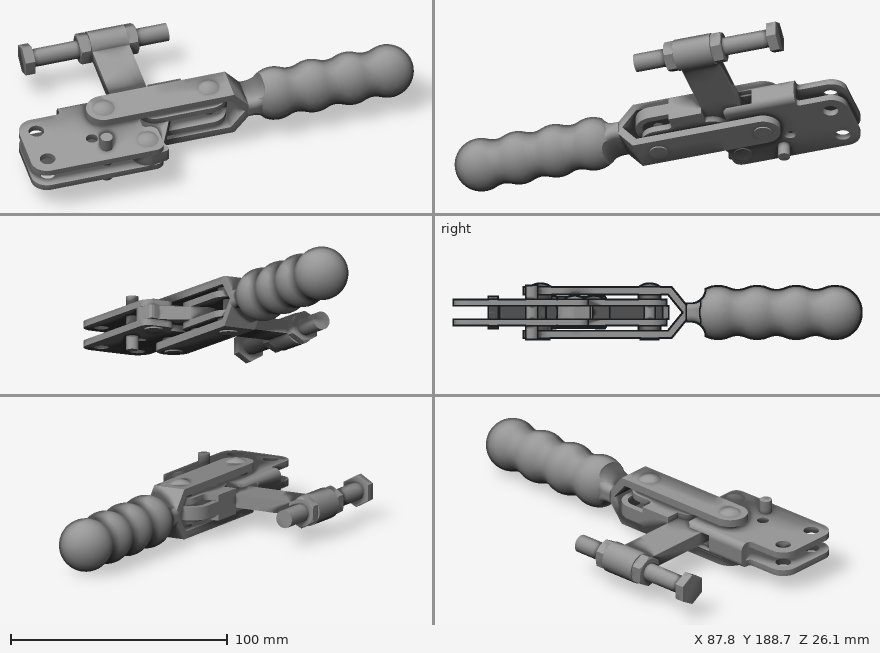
import cadquery as cq
import math


arm_half = 3.1
plate_thick = 3.0
plate_outer = arm_half + plate_thick
strap_inner = 8.3
strap_thick = 3.55
strap_outer = strap_inner + strap_thick

handle_pivot = (0.0, 0.0)
link_top_pivot = (0.0, 50.3)
link_arm_pivot = (0.0, 24.4)
arm_pivot = (19.86, 15.7)

shaft_dia = 5.2
spacer_dia = 10.3
dome_radius = 5.0
dome_height = 1.7
tail_radius = 4.25
tail_height = 0.65

base_right = arm_pivot[0] + 8.0
base_left = -7.3
base_bottom = -40.4
base_top = 15.6
base_corner = 7.5
fold_left = -12.9
fold_bottom = -18.8
fold_radius = 3.2
fold_relief = 1.6
fold_chamfer = 1.8
lobe_half = base_right - arm_pivot[0]
lobe_top = 21.9
lobe_corner = 4.2
lobe_fillet = 2.0
web_top = 1.7
arm_slot_half = 4.0
mount_hole_dia = 7.2
mount_inset = 8.0
spare_hole_dia = 5.5
spare_hole = (12.4, -9.1)
stop_pin_dia = 5.6
stop_pin = (19.75, -4.1)
stop_pin_half = 12.55

strap_width = 16.2
bend_inner_y = 58.7
bend_apex_y = 65.5
grip_bottom = 67.2
bulge_count = 4
bulge_pitch = 18.0
bulge_radius = 12.4
waist_radius = 10.5
first_bulge_y = 81.85
bulge_end_y = 76.0
neck_width = 18.0
neck_half = 4.3
neck_corner = 2.9
neck_straight_top = 69.5
neck_top = 73.8
flare_half = 10.0

arm_top = 25.4
arm_bottom = arm_pivot[1] - lobe_half
arm_lobe_radius = 7.5
notch = (20.9, 23.0)
nose = [(24.2, 24.15), (25.7, 24.15), (26.5, 22.9)]
barrel_x = -52.6
barrel_radius = 7.3

rod_dia = 8.4
rod_top = 45.3
hex_flats = 13.0
hex_corner_radius = hex_flats / math.sqrt(3)
nut_bevel = 0.6
upper_nut = 4.8
lower_nut = 5.3
head_top = -19.6
head_thick = 4.6

link_left = -15.0
link_bottom = arm_top
link_lobe = 8.0
link_step_y = 41.1
link_step_fillet = 2.4
loop_radius = 8.9
loop_thick = 2.9

RIGHT, LEFT, UP, DOWN = (1, 0), (-1, 0), (0, 1), (0, -1)


def slab(outline, z_low, z_high):
    """Extrude a closed XY outline between two heights."""
    return outline.extrude(z_high - z_low).translate((0, 0, z_low))


def disc(center, diameter, z_low, z_high):
    """Upright cylinder between two heights."""
    return slab(cq.Workplane("XY").center(*center).circle(diameter / 2), z_low, z_high)


def block(x_low, x_high, y_low, y_high, z_half):
    """Box centred on the mid-plane."""
    size = (x_high - x_low, y_high - y_low, 2 * z_half)
    middle = ((x_low + x_high) / 2, (y_low + y_high) / 2, 0)
    return cq.Workplane("XY").box(*size).translate(middle)


def rivet(center, grip_half):
    """Shaft with a domed head on top and a flat closed head below."""
    x, y = center
    dome = (
        cq.Workplane("XZ")
        .lineTo(dome_radius, 0)
        .threePointArc(dome_middle(), (0, dome_height))
        .close()
        .revolve(360, (0, 0), (0, 1))
        .translate((x, y, grip_half))
    )
    shaft = disc(center, shaft_dia, -grip_half, grip_half)
    tail = disc(center, 2 * tail_radius, -grip_half - tail_height, -grip_half)
    return shaft.union(dome).union(tail)


def dome_middle():
    """Point on the dome's profile halfway out from its centre."""
    sphere = (dome_radius**2 + dome_height**2) / (2 * dome_height)
    out = dome_radius / 2
    return (out, math.sqrt(sphere**2 - out**2) - (sphere - dome_height))


def rounded_corner(outline, corner, radius, turn_in, turn_out):
    """Add a quarter arc at a square corner; the turns are the unit directions in and out of it."""
    start = [c - radius * t for c, t in zip(corner, turn_in)]
    end = [c + radius * t for c, t in zip(corner, turn_out)]
    center = [c + radius * (b - a) for c, a, b in zip(corner, turn_in, turn_out)]
    reach = radius / math.hypot(*[c - k for c, k in zip(corner, center)])
    middle = [k + reach * (c - k) for c, k in zip(corner, center)]
    return outline.lineTo(*start).threePointArc(tuple(middle), tuple(end))


def base_outline():
    """Side plate with the folded edge on its left and a lobe round the arm pivot."""
    lobe_left = arm_pivot[0] - lobe_half
    outline = cq.Workplane("XY").moveTo(fold_left + fold_chamfer, base_top)
    corners = [
        ((lobe_left, base_top), lobe_fillet, RIGHT, UP),
        ((lobe_left, lobe_top), lobe_corner, UP, RIGHT),
        ((base_right, lobe_top), lobe_corner, RIGHT, DOWN),
        ((base_right, base_bottom), base_corner, DOWN, LEFT),
        ((base_left, base_bottom), base_corner, LEFT, UP),
        ((base_left, fold_bottom), fold_relief, UP, LEFT),
    ]
    for corner in corners:
        outline = rounded_corner(outline, *corner)
    return outline.lineTo(fold_left, fold_bottom).lineTo(fold_left, base_top - fold_chamfer).close()


def make_base():
    """U-folded sheet with the arm rivet and the stop pin; the arm passes through a slot in the fold."""
    base = slab(base_outline(), -plate_outer, plate_outer)
    base = base.faces("<X").edges("|Y").fillet(fold_radius)
    gap_left = fold_left + plate_thick
    base = base.cut(block(gap_left, base_right, base_bottom, lobe_top, arm_half))
    base = base.cut(block(fold_left, gap_left, web_top, base_top, arm_slot_half))
    hole_y = base_bottom + mount_inset
    holes = [
        ((base_left + mount_inset, hole_y), mount_hole_dia),
        ((base_right - mount_inset, hole_y), mount_hole_dia),
        (spare_hole, spare_hole_dia),
        (handle_pivot, shaft_dia),
    ]
    for center, diameter in holes:
        base = base.cut(disc(center, diameter, -plate_outer, plate_outer))
    base = base.union(rivet(arm_pivot, plate_outer))
    return base.union(disc(stop_pin, stop_pin_dia, -stop_pin_half, stop_pin_half))


def make_arm():
    """Flat bar with a barrel for the spindle and a lobe for the link."""
    reach = math.dist(link_arm_pivot, notch)
    toward_notch = math.atan2(notch[1] - link_arm_pivot[1], notch[0] - link_arm_pivot[0])
    tangent = toward_notch + math.acos(arm_lobe_radius / reach)
    lobe_left = math.pi - math.asin((arm_top - link_arm_pivot[1]) / arm_lobe_radius)

    def on_lobe(angle):
        x, y = link_arm_pivot
        return (x + arm_lobe_radius * math.cos(angle), y + arm_lobe_radius * math.sin(angle))

    x, y = arm_pivot
    diagonal = lobe_half / math.sqrt(2)
    outline = (
        cq.Workplane("XY")
        .moveTo(barrel_x, arm_bottom)
        .lineTo(barrel_x, arm_top)
        .lineTo(*on_lobe(lobe_left))
        .threePointArc(on_lobe((lobe_left + tangent) / 2), on_lobe(tangent))
        .lineTo(*notch)
    )
    for point in nose:
        outline = outline.lineTo(*point)
    outline = (
        outline.lineTo(x + lobe_half, y)
        .threePointArc((x + diagonal, y - diagonal), (x, arm_bottom))
        .close()
    )
    arm = slab(outline, -arm_half, arm_half)
    arm = arm.union(along_y(barrel_radius, arm_bottom, arm_top))
    arm = arm.cut(along_y(rod_dia / 2, arm_bottom, arm_top))
    for pivot in (arm_pivot, link_arm_pivot):
        arm = arm.cut(disc(pivot, shaft_dia, -arm_half, arm_half))
    return arm


def along_y(radius, y_low, y_high):
    """Cylinder on the spindle axis."""
    axis = cq.Workplane("XZ", origin=(barrel_x, y_low, 0))
    return axis.circle(radius).extrude(y_low - y_high)


def hexagon(y_low, y_high):
    """Hexagonal prism on the spindle axis with two corners facing up and down."""
    corners = [math.radians(30 + 60 * i) for i in range(6)]
    points = [(hex_corner_radius * math.cos(a), hex_corner_radius * math.sin(a)) for a in corners]
    axis = cq.Workplane("XZ", origin=(barrel_x, y_low, 0))
    return axis.polyline(points).close().extrude(y_low - y_high)


def nut(y_low, y_high, beveled_ends):
    """Hexagon whose corners are turned off on the chosen ends."""
    turned = along_y(hex_corner_radius, y_low, y_high)
    bevel_width = hex_corner_radius - hex_flats / 2
    turned = turned.faces(beveled_ends).chamfer(nut_bevel, bevel_width)
    return hexagon(y_low, y_high).intersect(turned)


def make_spindle():
    """Hexagon-headed bolt held in the barrel by a nut on each side."""
    spindle = along_y(rod_dia / 2, head_top - head_thick, rod_top)
    spindle = spindle.union(hexagon(head_top - head_thick, head_top))
    spindle = spindle.union(nut(arm_top, arm_top + upper_nut, ">Y"))
    return spindle.union(nut(arm_bottom - lower_nut, arm_bottom, "<Y or >Y"))


def make_link():
    """Channel joining the handle to the arm, with its arm rivet."""
    x, top_y = link_top_pivot
    low_y = link_arm_pivot[1]
    outline = rounded_corner(
        cq.Workplane("XY").moveTo(link_left, link_bottom).lineTo(link_left, link_step_y),
        (x - link_lobe, link_step_y), link_step_fillet, RIGHT, UP,
    )
    outline = (
        outline.lineTo(x - link_lobe, top_y)
        .threePointArc((x, top_y + link_lobe), (x + link_lobe, top_y))
        .lineTo(x + link_lobe, low_y)
        .threePointArc((x, low_y - link_lobe), (x - link_lobe, low_y))
        .lineTo(x - link_lobe, link_bottom)
        .close()
    )
    link = slab(outline, -plate_outer, plate_outer)
    web_inside = link_left + loop_thick
    gap = block(web_inside, x + link_lobe, low_y - link_lobe, top_y + link_lobe, arm_half)
    link = link.cut(gap)

    diagonal = 1 / math.sqrt(2)
    bend_x = link_left + loop_radius
    inner = loop_radius - loop_thick
    loop = (
        cq.Workplane("XY")
        .moveTo(link_left, link_step_y)
        .lineTo(link_left, top_y)
        .threePointArc(
            (bend_x - loop_radius * diagonal, top_y + loop_radius * diagonal), (bend_x, top_y + loop_radius)
        )
        .lineTo(x, top_y + loop_radius)
        .lineTo(x, top_y + inner)
        .lineTo(bend_x, top_y + inner)
        .threePointArc((bend_x - inner * diagonal, top_y + inner * diagonal), (bend_x - inner, top_y))
        .lineTo(bend_x - inner, link_step_y)
        .close()
    )
    link = link.union(slab(loop, -arm_half, arm_half))
    link = link.cut(disc(link_top_pivot, shaft_dia, -plate_outer, plate_outer))
    return link.union(rivet(link_arm_pivot, plate_outer))


def make_grip():
    """Turned grip: spherical bulges blended by concave grooves, ending in the flat neck."""
    groove_radius = ((bulge_pitch / 2) ** 2 + waist_radius**2 - bulge_radius**2) / (
        2 * (bulge_radius - waist_radius)
    )
    share = bulge_radius / (bulge_radius + groove_radius)
    touch_y = share * bulge_pitch / 2
    touch_radius = share * (waist_radius + groove_radius)

    profile = cq.Workplane("XY").moveTo(0, first_bulge_y - bulge_radius)
    for i in range(bulge_count - 1):
        y = first_bulge_y + i * bulge_pitch
        profile = (
            profile.threePointArc((bulge_radius, y), (touch_radius, y + touch_y))
            .threePointArc(
                (waist_radius, y + bulge_pitch / 2), (touch_radius, y + bulge_pitch - touch_y)
            )
        )
    last_y = first_bulge_y + (bulge_count - 1) * bulge_pitch
    profile = profile.threePointArc((bulge_radius, last_y), (0, last_y + bulge_radius)).close()
    grip = profile.revolve(360, (0, 0), (0, 1))
    neck_zone = block(-bulge_radius, bulge_radius, grip_bottom, bulge_end_y, bulge_radius)
    grip = grip.cut(neck_zone.cut(flared_bar(2 * bulge_radius)))
    neck = flared_bar(neck_width).edges("(<X or >X) and (not |Z)").fillet(neck_corner)
    return grip.union(neck.intersect(neck_zone.translate((0, neck_top - bulge_end_y, 0))))


def flared_bar(width):
    """Flat bar that flares towards the last bulge through concave arcs above and below."""
    return (
        cq.Workplane("YZ")
        .moveTo(grip_bottom, -neck_half)
        .lineTo(grip_bottom, neck_half)
        .lineTo(neck_straight_top, neck_half)
        .tangentArcPoint((bulge_end_y, flare_half), relative=False)
        .lineTo(bulge_end_y, -flare_half)
        .threePointArc(flare_middle(), (neck_straight_top, -neck_half))
        .close()
        .extrude(width / 2, both=True)
    )


def flare_middle():
    """Point halfway along the lower flare, whose arc is tangent to the flat neck."""
    run = bulge_end_y - neck_straight_top
    rise = flare_half - neck_half
    radius = (run**2 + rise**2) / (2 * rise)
    half_angle = math.atan2(rise, run)
    return (
        neck_straight_top + radius * math.sin(half_angle),
        -neck_half - radius * (1 - math.cos(half_angle)),
    )


def make_handle():
    """Grip with two bent straps, joined by two rivets with spacers beside the inner plates."""
    bend_run = bend_apex_y - bend_inner_y
    bend_outer_y = grip_bottom - bend_run
    tip_y = -strap_width / 2
    handle = make_grip()
    rounded_ends = (
        block(-strap_width / 2, strap_width / 2, 0, grip_bottom, strap_outer)
        .union(disc(handle_pivot, strap_width, -strap_outer, strap_outer))
    )
    for side in (1, -1):
        strap = (
            cq.Workplane("YZ")
            .polyline([
                (tip_y, side * strap_inner),
                (bend_inner_y, side * strap_inner),
                (bend_apex_y, 0),
                (grip_bottom, 0),
                (grip_bottom, side * strap_thick),
                (bend_outer_y, side * strap_outer),
                (tip_y, side * strap_outer),
            ])
            .close()
            .extrude(strap_width / 2, both=True)
        )
        handle = handle.union(strap.intersect(rounded_ends))
    for pivot in (handle_pivot, link_top_pivot):
        handle = handle.union(rivet(pivot, strap_outer))
        handle = handle.union(disc(pivot, spacer_dia, plate_outer, strap_inner))
        handle = handle.union(disc(pivot, spacer_dia, -strap_inner, -plate_outer))
    return handle


base = make_base()
arm = make_arm()
spindle = make_spindle()
link = make_link()
handle = make_handle()

result = cq.Compound.makeCompound([base.val(), arm.val(), spindle.val(), link.val(), handle.val()])